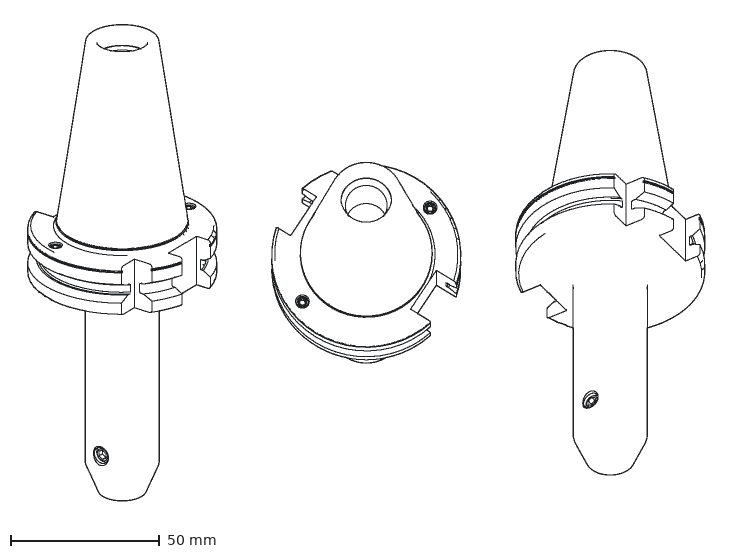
import cadquery as cq
import math

gauge_radius = 44.45 / 2
taper_length = 68.4
taper_ratio = 7 / 24
taper_end_fillet = 1.0

undercut_radius = 21.6
undercut_top = 1.0
undercut_bottom = 0.4
collar_radius = 22.2
collar_fillet = 0.9

flange_diameter = 63.55
flange_radius = flange_diameter / 2
flange_top = -1.0
flange_bottom = -19.1
flange_fillet = 1.0

mark_groove_center = -3.0
mark_groove_width = 0.6
mark_groove_depth = 0.4

v_groove_center = -11.1
v_groove_rim_width = 7.0
v_groove_root_width = 3.7
v_groove_root_radius = 27.75
v_groove_flank_angle = 30
v_groove_root_fillet = 0.5

nose_radius = 12.5
nose_bottom = -100.0
neck_fillet = 5.0
nose_cone_top = -89.0
nose_cone_fillet = 2.5
nose_tip_radius = 8.0
nose_tip_fillet = 1.0

pilot_radius = 17 / 2
pilot_depth = 6.4
pilot_fillet = 1.2
bore_relief_radius = 8.9
bore_relief_depth = 8.2
thread_radius = 7.0
thread_start_depth = 10.2
thread_depth = 32.0
drill_point_angle = 118

slot_width = 16.1
left_slot_floor = 22.8
right_slot_floor = 25.0
notch_offset = 18.5

coolant_circle_radius = 27.0
coolant_angles = (70, 250)
coolant_mouth_radius = 2.3
coolant_thread_radius = 1.9
coolant_hole_depth = 0.6
coolant_socket_size = 2.0
coolant_socket_depth = 1.5

clamp_height = -82.0
clamp_mouth_radius = 3.5
clamp_thread_radius = 2.9
clamp_hole_depth = 1.2
clamp_socket_size = 3.0
clamp_socket_depth = 2.0

screw_flat_ratio = 0.75


def taper_radius(height):
    return gauge_radius - height * taper_ratio / 2


def revolve_outline(points):
    return cq.Workplane("XZ").polyline(points).close().revolve(360, (0, 0, 0), (0, 1, 0))


def fillet_circle(body, radius, height, fillet):
    """Round the circular edge of the given radius centred on Z at the given height."""
    margin = 0.01
    box = cq.selectors.BoxSelector(
        (-radius - margin, -radius - margin, height - margin),
        (radius + margin, radius + margin, height + margin),
        boundingbox=True,
    )
    ring = cq.selectors.RadiusNthSelector(-1)
    return body.edges(box).edges("%CIRCLE").edges(ring).fillet(fillet)


def nose():
    body = revolve_outline([
        (0, nose_bottom),
        (nose_tip_radius, nose_bottom),
        (nose_radius, nose_cone_top),
        (nose_radius, flange_bottom),
        (0, flange_bottom),
    ])
    body = fillet_circle(body, nose_tip_radius, nose_bottom, nose_tip_fillet)
    return fillet_circle(body, nose_radius, nose_cone_top, nose_cone_fillet)


def flange():
    body = revolve_outline([
        (0, flange_bottom),
        (flange_radius, flange_bottom),
        (flange_radius, flange_top),
        (0, flange_top),
    ])
    body = fillet_circle(body, flange_radius, flange_bottom, flange_fillet)
    return fillet_circle(body, flange_radius, flange_top, flange_fillet)


def shank():
    body = revolve_outline([
        (0, flange_top),
        (collar_radius, flange_top),
        (collar_radius, undercut_bottom),
        (undercut_radius, undercut_bottom),
        (undercut_radius, undercut_top),
        (taper_radius(undercut_top), undercut_top),
        (taper_radius(taper_length), taper_length),
        (0, taper_length),
    ])
    return fillet_circle(body, taper_radius(taper_length), taper_length, taper_end_fillet)


def turned_body():
    body = nose().union(flange()).union(shank())
    body = fillet_circle(body, nose_radius, flange_bottom, neck_fillet)
    return fillet_circle(body, collar_radius, flange_top, collar_fillet)


def v_groove():
    rim_half = v_groove_rim_width / 2
    root_half = v_groove_root_width / 2
    flank_end_radius = flange_radius - (rim_half - root_half) / math.tan(math.radians(v_groove_flank_angle))
    root_bottom = v_groove_center - root_half
    root_top = v_groove_center + root_half
    ring = revolve_outline([
        (v_groove_root_radius, root_bottom),
        (flank_end_radius, root_bottom),
        (flange_radius, v_groove_center - rim_half),
        (flange_radius, v_groove_center + rim_half),
        (flank_end_radius, root_top),
        (v_groove_root_radius, root_top),
    ])
    for height in (root_bottom, root_top):
        ring = fillet_circle(ring, v_groove_root_radius, height, v_groove_root_fillet)
    return ring


def mark_groove():
    inner_radius = flange_radius - mark_groove_depth
    bottom = mark_groove_center - mark_groove_width / 2
    ring = cq.Workplane("XY", origin=(0, 0, bottom)).circle(flange_radius).circle(inner_radius)
    return ring.extrude(mark_groove_width)


def pull_stud_bore():
    point_length = thread_radius / math.tan(math.radians(drill_point_angle / 2))
    pilot_floor = taper_length - pilot_depth
    thread_floor = taper_length - thread_depth
    return revolve_outline([
        (0, taper_length),
        (pilot_radius, taper_length),
        (pilot_radius, pilot_floor),
        (bore_relief_radius, pilot_floor),
        (bore_relief_radius, taper_length - bore_relief_depth),
        (thread_radius, taper_length - thread_start_depth),
        (thread_radius, thread_floor),
        (0, thread_floor - point_length),
    ])


def flange_cut(x_min, x_max, y_min, y_max):
    """Block through the full flange height, including the fillet at the foot of the collar."""
    height = flange_top + collar_fillet - flange_bottom
    block = cq.Workplane("XY").box(x_max - x_min, y_max - y_min, height, centered=False)
    return block.translate((x_min, y_min, flange_bottom))


def drive_slots():
    half_width = slot_width / 2
    left = flange_cut(-flange_radius, -left_slot_floor, -half_width, half_width)
    right = flange_cut(right_slot_floor, flange_radius, -half_width, half_width)
    return left.union(right)


def orientation_notch():
    return flange_cut(notch_offset, flange_radius, -flange_radius, -notch_offset)


def screw_recess(mouth_radius, screw_radius, depth, socket_size, socket_depth):
    """Space above a sunk set screw: countersunk mouth, chamfered screw edge and hex socket.

    The mouth lies on the XY plane and the recess runs down along -Z.
    """
    countersink = mouth_radius - screw_radius
    flat_radius = screw_radius * screw_flat_ratio
    edge_drop = screw_radius - flat_radius
    hole = revolve_outline([
        (0, 0),
        (mouth_radius, 0),
        (screw_radius, -countersink),
        (screw_radius, -depth - edge_drop),
        (flat_radius, -depth),
        (0, -depth),
    ])
    socket = cq.Workplane("XY").polygon(6, socket_size, circumscribed=True).extrude(-depth - socket_depth)
    return hole.union(socket)


def coolant_recesses():
    recess = screw_recess(
        coolant_mouth_radius,
        coolant_thread_radius,
        coolant_hole_depth,
        coolant_socket_size,
        coolant_socket_depth,
    ).translate((coolant_circle_radius, 0, flange_top))
    first, second = [recess.rotate((0, 0, 0), (0, 0, 1), angle) for angle in coolant_angles]
    return first.union(second)


def clamp_recess():
    recess = screw_recess(
        clamp_mouth_radius,
        clamp_thread_radius,
        clamp_hole_depth,
        clamp_socket_size,
        clamp_socket_depth,
    )
    return recess.rotate((0, 0, 0), (1, 0, 0), 90).translate((0, -nose_radius, clamp_height))


bored_body = fillet_circle(
    turned_body().cut(pull_stud_bore()),
    pilot_radius,
    taper_length,
    pilot_fillet,
)

result = (
    bored_body
    .cut(v_groove())
    .cut(mark_groove())
    .cut(drive_slots())
    .cut(orientation_notch())
    .cut(coolant_recesses())
    .cut(clamp_recess())
)